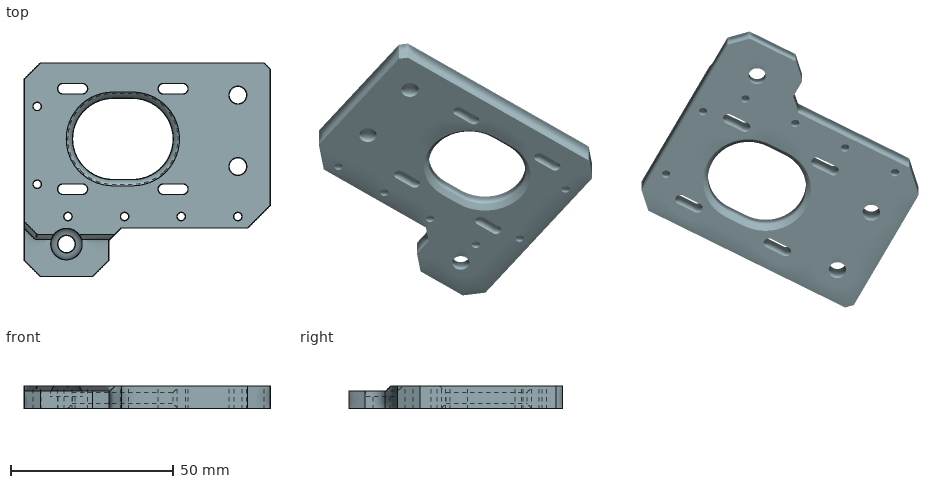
import cadquery as cq

length = 76.0
width = 66.0
thickness = 7.0

corner_cut = 5.0
small_corner_cut = 2.0
large_corner_cut = 7.0
tab_length = 26.15
body_bottom = 15.0
tab_root_cut = 3.9

step_depth = 1.5
step_angle = 45
step_top = 13.0
step_corner = 4.0

opening_x = 30.5
opening_y = 42.5
opening_height = 25.0
opening_straight = 6.0
upper_bevel = 2.0
lower_bevel = 1.5
bevel_angle = 45

slot_pitch = 31.0
slot_diameter = 3.2
slot_travel = 6.0

large_hole_diameter = 5.4
large_hole_x = 66.0
large_hole_ys = (34.0, 56.0)
small_hole_diameter = 2.5
side_hole_x = 4.0
side_hole_pitch = 24.0
side_hole_first_y = 28.5
row_hole_count = 4
row_hole_pitch = 17.5
row_hole_first_x = 13.5
row_hole_y = 18.55
tab_hole_diameter = 5.3
tab_hole_x = tab_length / 2
tab_hole_y = 10.0
counterbore_diameter = 9.7
counterbore_depth = 3.3


def make_plate():
    outline = [
        (corner_cut, 0),
        (tab_length - corner_cut, 0),
        (tab_length, corner_cut),
        (tab_length, body_bottom - tab_root_cut),
        (tab_length + tab_root_cut, body_bottom),
        (length - large_corner_cut, body_bottom),
        (length, body_bottom + large_corner_cut),
        (length, width - small_corner_cut),
        (length - small_corner_cut, width),
        (corner_cut, width),
        (0, width - corner_cut),
        (0, corner_cut),
    ]
    return cq.Workplane("XY").polyline(outline).close().extrude(thickness)


def make_step_cutter():
    margin = 3 * step_depth
    right = tab_length + tab_root_cut + margin
    region = [
        (-margin, -margin),
        (right, -margin),
        (right, step_top),
        (step_corner, step_top),
        (-margin, step_top + step_corner + margin),
    ]
    top = cq.Workplane("XY").workplane(offset=thickness)
    return top.polyline(region).close().extrude(-step_depth, taper=step_angle)


def make_opening():
    overall_length = opening_height + opening_straight

    def make_bevel(z, size, direction):
        return (
            cq.Workplane("XY")
            .workplane(offset=z)
            .center(opening_x, opening_y)
            .slot2D(overall_length + 2 * size, opening_height + 2 * size)
            .extrude(direction * size, taper=bevel_angle)
        )

    opening = (
        cq.Workplane("XY")
        .center(opening_x, opening_y)
        .slot2D(overall_length, opening_height)
        .extrude(thickness)
    )
    upper = make_bevel(thickness, upper_bevel, -1)
    lower = make_bevel(0, lower_bevel, 1)
    return opening.union(upper).union(lower)


def make_slots():
    return (
        cq.Workplane("XY")
        .center(opening_x, opening_y)
        .rarray(slot_pitch, slot_pitch, 2, 2)
        .slot2D(slot_travel + slot_diameter, slot_diameter)
        .extrude(thickness)
    )


def make_holes(centers, diameter):
    return cq.Workplane("XY").pushPoints(centers).circle(diameter / 2).extrude(thickness)


def make_counterbore():
    return (
        cq.Workplane("XY")
        .workplane(offset=thickness - counterbore_depth)
        .center(tab_hole_x, tab_hole_y)
        .circle(counterbore_diameter / 2)
        .extrude(counterbore_depth)
    )


large_holes = [(large_hole_x, y) for y in large_hole_ys]
side_holes = [(side_hole_x, side_hole_first_y + i * side_hole_pitch) for i in range(2)]
row_holes = [(row_hole_first_x + i * row_hole_pitch, row_hole_y) for i in range(row_hole_count)]

result = (
    make_plate()
    .cut(make_step_cutter())
    .cut(make_opening())
    .cut(make_slots())
    .cut(make_holes(large_holes, large_hole_diameter))
    .cut(make_holes(side_holes + row_holes, small_hole_diameter))
    .cut(make_holes([(tab_hole_x, tab_hole_y)], tab_hole_diameter))
    .cut(make_counterbore())
)